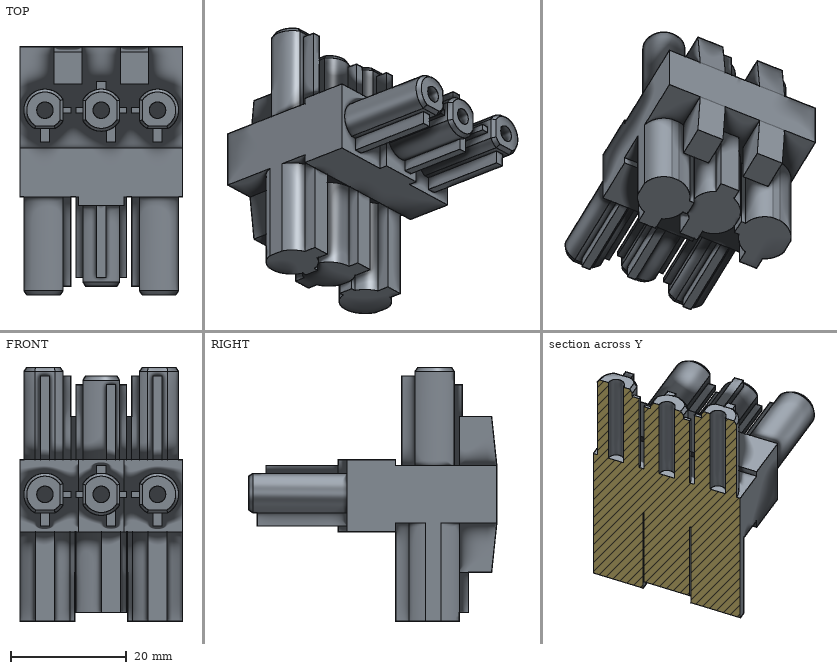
import cadquery as cq
import math


body_width = 28.2
body_height = 10.0
body_back = 11.0
body_front = -6.55
block_front = -15.0
block_rise = 1.0
block_drop = 1.5
step_width = 7.9
step_depth = 1.5

pole_pitch = 9.75
contact_length = 17.0
centre_setback = 1.5
sides = (-1, 1)

pin_radius = 3.65
outer_inner_flat = 3.15
outer_lower_flat = 3.2
centre_flat = 3.2
tip_chamfer_length = 0.75
tip_chamfer_inset = 0.5
tip_taper = math.degrees(math.atan(tip_chamfer_inset / tip_chamfer_length))
bore_diameter = 2.85

no_flat = pole_pitch

rib_setback = 1.5
lower_rib_width = 1.55
lower_rib_reach = 5.5
upper_rib_width = 1.7
upper_rib_reach = 5.0
outer_side_rib_reach = 4.5
centre_side_rib_reach = 4.4
upward_side_rib_width = 0.9
forward_side_rib_width = 1.05
centre_lower_rib_offset = 1.7

socket_radius = 4.55
outer_socket_side_flat = body_width / 2 - pole_pitch
centre_socket_side_flat = 4.4
socket_back_flat = 4.5
keyway_wall = 0.88
socket_lower_rib_reach = -body_front
socket_upper_rib_reach = 6.1
socket_side_rib_reach = 5.2

latch_centre = 5.73
latch_width = 4.83
latch_height = 8.5
latch_depth = 6.5
latch_taper = 0.9


def box(x_range, y_range, z_range):
    """Axis-aligned box given by its limits."""
    sizes = [max(r) - min(r) for r in (x_range, y_range, z_range)]
    corner = cq.Vector(min(x_range), min(y_range), min(z_range))
    return cq.Workplane("XY").box(*sizes, centered=False).translate(corner)


def make_body():
    half_width = body_width / 2
    half_step = step_width / 2
    block_z = (-block_drop, body_height + block_rise)
    slab = box((-half_width, half_width), (body_front, body_back), (0, body_height))
    block = box((-half_width, half_width), (block_front, body_front), block_z)
    step = box((-half_step, half_step), (block_front - step_depth, block_front), block_z)
    return slab.union(block).union(step)


def flat_limits(left, right, lower, upper):
    """Rectangle whose sides lie at the given distances from the axis."""
    centre = ((right - left) / 2, (upper - lower) / 2)
    return cq.Workplane("XY").center(*centre).rect(left + right, lower + upper)


def flatted_cylinder(radius, length, left, right, lower, upper, taper=0):
    """Cylinder along +Z, cut flat at the given distances from its axis."""
    cylinder = cq.Workplane("XY").circle(radius).extrude(length, taper=taper)
    return cylinder.intersect(flat_limits(left, right, lower, upper).extrude(length, taper=taper))


def pin_barrel(length, left, right, lower):
    """Pin along +Z with a chamfered tip; its upper side is always round."""
    shank_length = length - tip_chamfer_length
    flats = (left, right, lower, no_flat)
    shank = flatted_cylinder(pin_radius, shank_length, *flats)
    tip = flatted_cylinder(pin_radius, tip_chamfer_length, *flats, taper=tip_taper)
    return shank.union(tip.translate((0, 0, shank_length)))


def cross_rib(centre, width, y_end, length):
    """Rib from the axis level to y_end along local Y."""
    return box((centre - width / 2, centre + width / 2), (0, y_end), (0, length))


def side_rib(x_end, width, length):
    """Rib from the axis to x_end along local X."""
    return box((0, x_end), (-width / 2, width / 2), (0, length))


def finish_pin(pin, ribs, length):
    """Add the ribs to a pin and bore its contact hole."""
    for rib in ribs:
        pin = pin.union(rib)
    return pin.cut(cq.Workplane("XY").circle(bore_diameter / 2).extrude(length))


def outer_pin(side, side_rib_width):
    """Outer pin along +Z; its side flat and side rib face the centre pole."""
    length = contact_length
    rib_length = length - rib_setback
    left = no_flat if side < 0 else outer_inner_flat
    right = outer_inner_flat if side < 0 else no_flat
    pin = pin_barrel(length, left, right, outer_lower_flat)
    ribs = [
        cross_rib(0, lower_rib_width, -lower_rib_reach, rib_length),
        side_rib(-side * outer_side_rib_reach, side_rib_width, rib_length),
    ]
    return finish_pin(pin, ribs, length)


def centre_pin(side_rib_width):
    """Centre pin along +Z with two side flats and four ribs."""
    length = contact_length - centre_setback
    rib_length = length - rib_setback
    pin = pin_barrel(length, centre_flat, centre_flat, no_flat)
    ribs = [
        cross_rib(centre_lower_rib_offset, lower_rib_width, -lower_rib_reach, rib_length),
        cross_rib(0, upper_rib_width, upper_rib_reach, rib_length),
    ]
    for side in sides:
        ribs.append(side_rib(side * centre_side_rib_reach, side_rib_width, rib_length))
    return finish_pin(pin, ribs, length)


def pin_row(side_rib_width):
    """Three pins standing on Z = 0 along the X axis."""
    row = centre_pin(side_rib_width)
    for side in sides:
        row = row.union(outer_pin(side, side_rib_width).translate((side * pole_pitch, 0, 0)))
    return row


def outer_socket(side):
    """Outer socket along +Z with housings around the lower and side keyways."""
    length = contact_length
    flat = outer_socket_side_flat
    socket = flatted_cylinder(socket_radius, length, flat, flat, no_flat, socket_back_flat)
    lower_width = lower_rib_width + 2 * keyway_wall
    side_width = upward_side_rib_width + 2 * keyway_wall
    socket = socket.union(cross_rib(0, lower_width, -socket_lower_rib_reach, length))
    return socket.union(side_rib(-side * socket_side_rib_reach, side_width, length))


def centre_socket():
    """Centre socket along +Z with housings around the lower and upper keyways."""
    length = contact_length - centre_setback
    flat = centre_socket_side_flat
    socket = flatted_cylinder(socket_radius, length, flat, flat, no_flat, socket_back_flat)
    lower_width = lower_rib_width + 2 * keyway_wall
    upper_width = upper_rib_width + 2 * keyway_wall
    lower = cross_rib(centre_lower_rib_offset, lower_width, -socket_lower_rib_reach, length)
    upper = cross_rib(0, upper_width, socket_upper_rib_reach, length)
    return socket.union(lower).union(upper)


def socket_row():
    """Three sockets hanging below Z = 0."""
    row = centre_socket()
    for side in sides:
        row = row.union(outer_socket(side).translate((side * pole_pitch, 0, 0)))
    return row.mirror("XY")


def latch(side):
    """Latch standing on Z = 0 with a back face leaning forward."""
    profile = [
        (body_back, 0),
        (body_back - latch_taper, latch_height),
        (body_back - latch_depth, latch_height),
        (body_back - latch_depth, 0),
    ]
    start = side * latch_centre - latch_width / 2
    return cq.Workplane("YZ", origin=(start, 0, 0)).polyline(profile).close().extrude(latch_width)


mid_height = body_height / 2
upward_pins = pin_row(upward_side_rib_width).translate((0, 0, body_height))
forward_pins = (
    pin_row(forward_side_rib_width)
    .rotate((0, 0, 0), (1, 0, 0), 90)
    .translate((0, block_front, mid_height))
)
sockets = socket_row()

result = make_body().union(upward_pins).union(forward_pins).union(sockets)
for side in sides:
    lower_latch = latch(side).mirror("XY")
    upper_latch = latch(side).translate((0, 0, body_height))
    result = result.union(upper_latch).union(lower_latch)